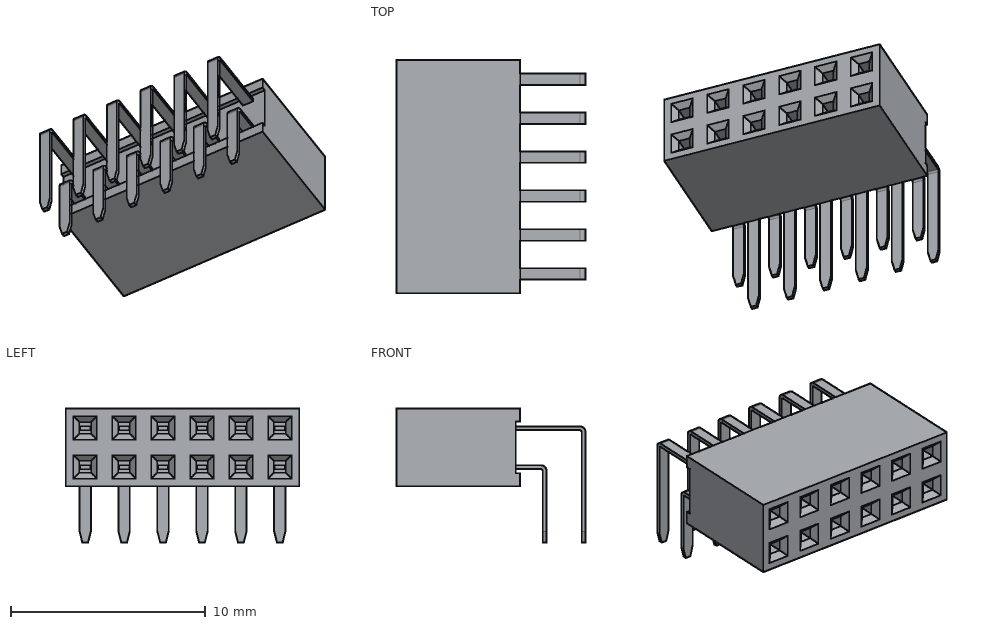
import cadquery as cq


columns = 6
rows = 2
body_width = 12.0
pitch = body_width / columns

body_length = 6.36
body_height = rows * pitch
rear_recess_depth = 0.23
rear_lip_height = 0.67

funnel_mouth = 1.2
funnel_throat = 0.6
funnel_depth = 0.3
socket_depth = 5.0

pin_width = 0.6
pin_thickness = 0.2
pin_drop = 0.018
bend_outer_radius = 0.3
bend_inner_radius = bend_outer_radius - pin_thickness
upper_pin_reach = 9.72
overall_height = 6.9
tail_end_z = body_height - overall_height
tail_taper_length = 0.6
tail_tip_width = 0.3

slot_floor_width = 0.5
slot_depth = (funnel_throat - slot_floor_width) / 2

column_ys = [(column - (columns - 1) / 2) * pitch for column in range(columns)]
row_zs = [(row + 0.5) * pitch for row in range(rows)]


def make_body():
    """Rectangular block with a shallow recess along the full rear face."""
    block = cq.Workplane("XY").box(body_length, body_width, body_height, centered=(False, True, False))
    recess = (
        cq.Workplane("XY")
        .box(rear_recess_depth, body_width, body_height - 2 * rear_lip_height, centered=(False, True, False))
        .translate((body_length - rear_recess_depth, 0, rear_lip_height))
    )
    return block.cut(recess)


def make_socket(y, z):
    """Cutter for one socket, entering from the mating face."""
    funnel = (
        cq.Workplane("YZ")
        .center(y, z)
        .rect(funnel_mouth, funnel_mouth)
        .workplane(offset=funnel_depth)
        .rect(funnel_throat, funnel_throat)
        .loft(ruled=True)
    )
    hole = cq.Workplane("YZ").center(y, z).rect(funnel_throat, funnel_throat).extrude(socket_depth)
    return funnel.union(hole)


def make_contact_slot(y, z):
    """Cutter for the contact slot, in line with the pin behind it."""
    return (
        cq.Workplane("YZ", origin=(socket_depth, y, z - pin_drop))
        .rect(funnel_throat, pin_thickness)
        .workplane(offset=slot_depth)
        .rect(slot_floor_width, pin_thickness)
        .loft(ruled=True)
    )


def make_pin(y, z, reach):
    """Flat pin leaving the rear of the body, bent down and tapered at its tail."""
    top = z - pin_drop + pin_thickness / 2
    start = body_length - rear_recess_depth
    strip = (
        cq.Workplane("XZ")
        .moveTo(start, top)
        .lineTo(reach, top)
        .lineTo(reach, tail_end_z)
        .lineTo(reach - pin_thickness, tail_end_z)
        .lineTo(reach - pin_thickness, top - pin_thickness)
        .lineTo(start, top - pin_thickness)
        .close()
        .extrude(pin_width / 2, both=True)
    )
    outer_corner = (reach, 0, top)
    strip = strip.edges(cq.selectors.NearestToPointSelector(outer_corner)).fillet(bend_outer_radius)
    inner_corner = (reach - pin_thickness, 0, top - pin_thickness)
    strip = strip.edges(cq.selectors.NearestToPointSelector(inner_corner)).fillet(bend_inner_radius)

    half_width = pin_width / 2
    half_tip = tail_tip_width / 2
    taper_z = tail_end_z + tail_taper_length
    outline = (
        cq.Workplane("YZ")
        .polyline([
            (-half_width, top),
            (-half_width, taper_z),
            (-half_tip, tail_end_z),
            (half_tip, tail_end_z),
            (half_width, taper_z),
            (half_width, top),
        ])
        .close()
        .extrude(reach)
    )
    return strip.intersect(outline).translate((0, y, 0))


result = make_body()
for row, z in enumerate(row_zs):
    reach = upper_pin_reach - (rows - 1 - row) * pitch
    for y in column_ys:
        result = result.cut(make_socket(y, z))
        result = result.cut(make_contact_slot(y, z))
        result = result.union(make_pin(y, z, reach))